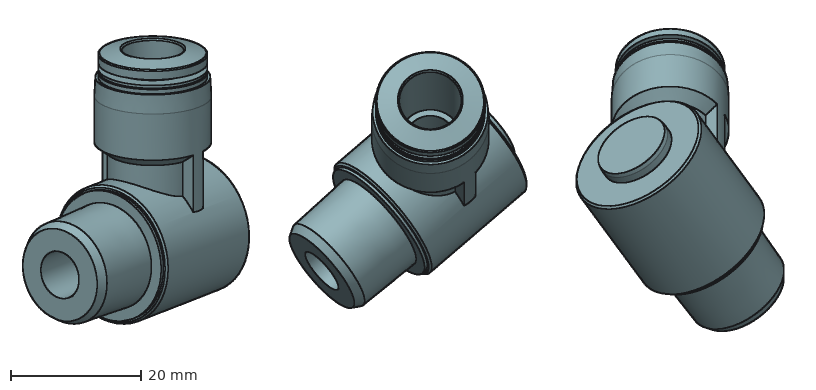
import cadquery as cq


overall_height = 41.7

body_radius = 11.0
body_half_length = 10.25
body_chamfer = 0.35
collar_radius = 10.35
collar_length = 0.55
boss_radius = 5.95
boss_end_y = 12.25
boss_chamfer_length = 0.65
boss_chamfer_depth = 0.13

thread_root_radius = 8.42
thread_tip_radius = 8.15
thread_end_radius = 7.35
thread_end_y = -22.73
thread_chamfer_length = 1.4

neck_radius = 7.0
neck_top_z = 14.15
socket_radius = 9.0
socket_bottom_z = 15.65
socket_taper_z = 23.15
socket_top_z = 26.15
socket_top_radius = 8.85

ring_diameter = 16.8
ring_radius = ring_diameter / 2
ring_stem_radius = 6.0
ring_edge_chamfer = 0.2
ring_bottom_z = 28.45
ring_stem_chamfer = 0.2
ring_edge_z = 30.02
ring_top_z = overall_height - body_radius
cap_top_z = 27.52
cap_groove_z = 26.85
cap_groove_width = 0.15
cap_groove_depth = 0.13

passage_radius = 3.75
tube_radius = 4.75
tube_mouth_chamfer = 0.25

rib_width = 2.45


def make_body():
    """Turn the body, collar, thread and rear boss around the Y axis."""
    collar_end_y = -body_half_length - collar_length
    return (
        cq.Workplane("XY")
        .moveTo(0, boss_end_y)
        .lineTo(boss_radius - boss_chamfer_depth, boss_end_y)
        .lineTo(boss_radius, boss_end_y - boss_chamfer_length)
        .lineTo(boss_radius, body_half_length)
        .lineTo(body_radius - body_chamfer, body_half_length)
        .lineTo(body_radius, body_half_length - body_chamfer)
        .lineTo(body_radius, -body_half_length + body_chamfer)
        .lineTo(body_radius - body_chamfer, -body_half_length)
        .lineTo(collar_radius, -body_half_length)
        .lineTo(collar_radius, collar_end_y)
        .lineTo(thread_root_radius, collar_end_y)
        .lineTo(thread_tip_radius, thread_end_y + thread_chamfer_length)
        .lineTo(thread_end_radius, thread_end_y)
        .lineTo(0, thread_end_y)
        .close()
        .revolve(360, (0, 0, 0), (0, 1, 0))
    )


def make_socket():
    """Turn the neck, socket, cap and release ring around the Z axis."""
    groove_radius = ring_radius - cap_groove_depth
    mouth_radius = tube_radius + tube_mouth_chamfer
    return (
        cq.Workplane("XZ")
        .lineTo(neck_radius, 0)
        .lineTo(neck_radius, neck_top_z)
        .lineTo(socket_radius, socket_bottom_z)
        .lineTo(socket_radius, socket_taper_z)
        .lineTo(socket_top_radius, socket_top_z)
        .lineTo(ring_radius, socket_top_z)
        .lineTo(ring_radius, cap_groove_z)
        .lineTo(groove_radius, cap_groove_z)
        .lineTo(groove_radius, cap_groove_z + cap_groove_width)
        .lineTo(ring_radius, cap_groove_z + cap_groove_width)
        .lineTo(ring_radius, cap_top_z)
        .lineTo(ring_stem_radius, cap_top_z)
        .lineTo(ring_stem_radius, ring_bottom_z - ring_stem_chamfer)
        .lineTo(ring_stem_radius + ring_stem_chamfer, ring_bottom_z)
        .lineTo(ring_radius, ring_bottom_z)
        .lineTo(ring_radius, ring_edge_z - ring_edge_chamfer)
        .lineTo(ring_radius - ring_edge_chamfer, ring_edge_z)
        .lineTo(mouth_radius, ring_top_z)
        .lineTo(0, ring_top_z)
        .close()
        .revolve(360, (0, 0, 0), (0, 1, 0))
    )


def make_ribs():
    """One plate across the neck forms both ribs; their outer faces follow the socket wall."""
    plate = cq.Workplane("XY").rect(2 * socket_radius, rib_width).extrude(socket_bottom_z)
    socket_wall = cq.Workplane("XY").circle(socket_radius).extrude(socket_bottom_z)
    return plate.intersect(socket_wall)


def make_passages():
    """Two bores meet in a ball-ended elbow; the wider tube bore opens at the top."""
    thread_bore = cq.Workplane("XZ").circle(passage_radius).extrude(-thread_end_y)
    socket_bore = cq.Workplane("XY").circle(passage_radius).extrude(ring_top_z)
    elbow = cq.Workplane("XY").sphere(passage_radius)
    tube_bore = (
        cq.Workplane("XY", origin=(0, 0, socket_bottom_z))
        .circle(tube_radius)
        .extrude(ring_top_z - socket_bottom_z)
    )
    mouth = (
        cq.Workplane("XZ")
        .moveTo(0, ring_top_z - tube_mouth_chamfer)
        .lineTo(tube_radius, ring_top_z - tube_mouth_chamfer)
        .lineTo(tube_radius + tube_mouth_chamfer, ring_top_z)
        .lineTo(0, ring_top_z)
        .close()
        .revolve(360, (0, 0, 0), (0, 1, 0))
    )
    return thread_bore.union(socket_bore).union(elbow).union(tube_bore).union(mouth)


result = make_body().union(make_socket()).union(make_ribs()).cut(make_passages())